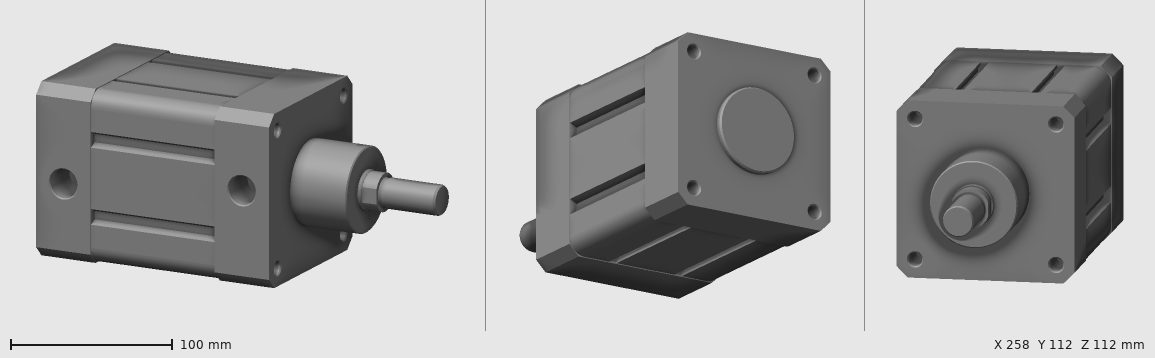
import cadquery as cq


rear_boss_length = 4.0
cap_length = 38.0
barrel_length = 86.5
front_boss_length = 39.2
rod_tip_x = 258.0
rear_cap_x = rear_boss_length
barrel_x = rear_cap_x + cap_length
front_cap_x = barrel_x + barrel_length
front_boss_x = front_cap_x + cap_length
front_boss_end_x = front_boss_x + front_boss_length

cap_width = 112.0
cap_corner_chamfer = 7.0
boss_radius = 27.5
rear_boss_chamfer = 1.0
front_boss_chamfer = 0.8

screw_offset = 44.5
screw_radius = 4.5
screw_depth = 25.8
screw_chamfer = 0.8

port_radius = 9.3
port_depth = 25.8
port_chamfer = 0.8
port_z_offset = 6.0

collar_radius = 13.2
collar_straight = 1.5
collar_taper = 1.0
collar_lip = 0.3
collar_end_x = front_boss_end_x + collar_straight + collar_taper

barrel_width = 111.0
barrel_corner_radius = 10.8
trapezoid_depth = 5.0
trapezoid_offset = 24.8
trapezoid_mouth = 10.0
trapezoid_floor = 5.5
t_slot_offset = 24.0
t_slot_mouth = 5.5
t_slot_inner = 8.8
t_slot_lip = 2.0
t_slot_depth = 6.2

rod_radius = 12.5
flat_width = 22.7
shoulder_x = 218.3
thread_radius = 9.8
relief_radius = 9.3
relief_fall = 1.5
relief_rise = 2.3
tip_chamfer_length = 1.5
tip_chamfer_depth = 0.8


def plane_at(x):
    """YZ plane at station x with its normal along +X (local x = Y, local y = Z)."""
    return cq.Workplane("YZ", origin=(x, 0, 0))


def revolve_about_x(half_section):
    """Turn a closed (x, radius) half section about the X axis."""
    return cq.Workplane("XY").polyline(half_section).close().revolve(360, (0, 0, 0), (1, 0, 0))


def mouth_chamfered_hole(radius, depth, chamfer):
    """Cutter for a blind hole entering at the origin and running along +X, with a chamfered mouth."""
    half_section = [
        (0, 0),
        (0, radius + chamfer),
        (chamfer, radius),
        (depth, radius),
        (depth, 0),
    ]
    return revolve_about_x(half_section)


def cap_block(start_x):
    """Square cap block with chamfered long edges."""
    return (
        plane_at(start_x)
        .rect(cap_width, cap_width)
        .extrude(cap_length)
        .edges("|X")
        .chamfer(cap_corner_chamfer)
    )


def cut_screw_holes(cap, face_x, faces_rear):
    """Cut the four corner holes into the outer face of a cap."""
    cutter = mouth_chamfered_hole(screw_radius, screw_depth, screw_chamfer)
    if not faces_rear:
        cutter = cutter.mirror("YZ")
    for y in (-screw_offset, screw_offset):
        for z in (-screw_offset, screw_offset):
            cap = cap.cut(cutter.translate((face_x, y, z)))
    return cap


def cut_port(cap, start_x, z):
    """Cut the air port into the -Y side, midway along a cap."""
    cutter = mouth_chamfered_hole(port_radius, port_depth, port_chamfer)
    cutter = cutter.rotate((0, 0, 0), (0, 0, 1), 90)
    return cap.cut(cutter.translate((start_x + cap_length / 2, -cap_width / 2, z)))


def make_rear_cap():
    boss = plane_at(0).circle(boss_radius).extrude(rear_boss_length).faces("<X").chamfer(rear_boss_chamfer)
    cap = cap_block(rear_cap_x).union(boss)
    cap = cut_screw_holes(cap, rear_cap_x, faces_rear=True)
    return cut_port(cap, rear_cap_x, -port_z_offset)


def make_front_cap():
    boss = plane_at(front_boss_x).circle(boss_radius).extrude(front_boss_length)
    boss = boss.faces(">X").chamfer(front_boss_chamfer)
    taper_x = front_boss_end_x + collar_straight
    collar = revolve_about_x([
        (front_boss_end_x, 0),
        (front_boss_end_x, collar_radius),
        (taper_x, collar_radius),
        (collar_end_x, rod_radius + collar_lip),
        (collar_end_x, 0),
    ])
    cap = cap_block(front_cap_x).union(boss).union(collar)
    cap = cut_screw_holes(cap, front_boss_x, faces_rear=False)
    cap = cut_port(cap, front_cap_x, port_z_offset)
    rod_bore = plane_at(front_cap_x).circle(rod_radius).extrude(collar_end_x - front_cap_x)
    return cap.cut(rod_bore)


def groove_cutter(half_outline):
    """Groove cutter along the barrel from (half width, depth) points; its mouth faces +Z at Z = 0."""
    right = [(half_width, -depth) for half_width, depth in half_outline]
    left = [(-half_width, -depth) for half_width, depth in reversed(half_outline)]
    return plane_at(barrel_x).polyline(right + left).close().extrude(barrel_length)


def make_barrel():
    barrel = plane_at(barrel_x).rect(barrel_width, barrel_width).extrude(barrel_length)
    barrel = barrel.edges("|X").fillet(barrel_corner_radius)
    trapezoid = groove_cutter([
        (trapezoid_mouth / 2, 0),
        (trapezoid_floor / 2, trapezoid_depth),
    ])
    t_slot = groove_cutter([
        (t_slot_mouth / 2, 0),
        (t_slot_mouth / 2, t_slot_lip),
        (t_slot_inner / 2, t_slot_lip),
        (t_slot_inner / 2, t_slot_depth),
    ])
    sides = [
        (0, t_slot, t_slot_offset),
        (90, trapezoid, trapezoid_offset),
        (180, t_slot, t_slot_offset),
        (270, trapezoid, trapezoid_offset),
    ]
    for angle, groove, offset in sides:
        for y in (-offset, offset):
            cutter = groove.translate((0, y, barrel_width / 2))
            barrel = barrel.cut(cutter.rotate((0, 0, 0), (1, 0, 0), angle))
    return barrel


def make_rod():
    relief_x = shoulder_x + relief_fall
    half_section = [
        (front_cap_x, 0),
        (front_cap_x, rod_radius),
        (shoulder_x, rod_radius),
        (shoulder_x, thread_radius),
        (relief_x, relief_radius),
        (relief_x + relief_rise, thread_radius),
        (rod_tip_x - tip_chamfer_length, thread_radius),
        (rod_tip_x, thread_radius - tip_chamfer_depth),
        (rod_tip_x, 0),
    ]
    rod = revolve_about_x(half_section)

    flats_length = shoulder_x - collar_end_x
    flat_zone = plane_at(collar_end_x).rect(2 * rod_radius, 2 * rod_radius).extrude(flats_length)
    kept_core = plane_at(collar_end_x).rect(flat_width, 2 * rod_radius).extrude(flats_length)
    return rod.cut(flat_zone.cut(kept_core))


rear_cap = make_rear_cap()
barrel = make_barrel()
front_cap = make_front_cap()
rod = make_rod()

result = cq.Compound.makeCompound([rear_cap.val(), barrel.val(), front_cap.val(), rod.val()])